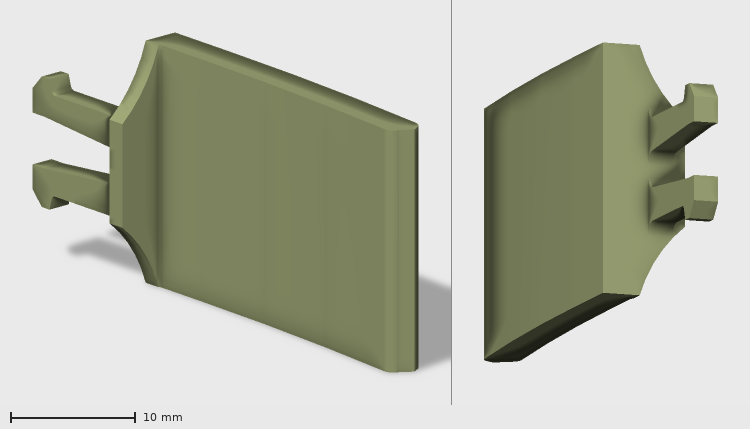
import cadquery as cq

length = 42.0
height = 20.4
depth = 7.0

plate_start = 10.5
plate_thickness = 3.02
bend_start = 17.1
bend_end = 40.55
bend_drop = 1.05
nose_drop = 2.3
nose_back_mid = (41.15, -1.18)
nose_back_end = (41.53, -1.45)
nose_front_mid = (40.9, -3.85)
nose_front_end = (41.28, -3.3)
plate_front_end_x = 40.3

flange_thickness = 1.55
flange_front_half_height = 4.35
flange_edge_depth = 3.15
flange_arc_mid = (-4.7, 6.93)
root_fillet = 0.2

hook_back = 3.9
hook_thickness = 2.05
hook_outer = 4.25
hook_inner = 2.2
hook_root_inner = 1.43
taper_start = 1.45
barb_outer = 5.5
barb_top_start = 1.15
barb_top_end = 2.05
barb_end = 2.45
hook_fillet = 0.92
barb_fillet = 0.4
edge_tolerance = 0.05

flange_end = plate_start + flange_thickness


def bend_offset(x):
    """Forward shift of the plate at x, growing with the square of the bent length."""
    return bend_drop * ((x - bend_start) / (bend_end - bend_start)) ** 2


def make_plate():
    bend_middle = (bend_start + bend_end) / 2
    front_middle_y = -plate_thickness - bend_offset(bend_middle)
    front_end_y = -plate_thickness - bend_offset(plate_front_end_x)
    return (
        cq.Workplane("XY")
        .moveTo(plate_start, 0)
        .lineTo(bend_start, 0)
        .threePointArc((bend_middle, -bend_offset(bend_middle)), (bend_end, -bend_drop))
        .threePointArc(nose_back_mid, nose_back_end)
        .lineTo(length, -nose_drop)
        .lineTo(*nose_front_end)
        .threePointArc(nose_front_mid, (plate_front_end_x, front_end_y))
        .threePointArc((bend_middle, front_middle_y), (bend_start, -plate_thickness))
        .lineTo(plate_start, -plate_thickness)
        .close()
        .extrude(height / 2, both=True)
    )


def make_flange():
    shoulder_y, shoulder_z = flange_arc_mid
    return (
        cq.Workplane("YZ", origin=(plate_start, 0, 0))
        .moveTo(0, -height / 2)
        .lineTo(-flange_edge_depth, -height / 2)
        .threePointArc((shoulder_y, -shoulder_z), (-depth, -flange_front_half_height))
        .lineTo(-depth, flange_front_half_height)
        .threePointArc((shoulder_y, shoulder_z), (-flange_edge_depth, height / 2))
        .lineTo(0, height / 2)
        .close()
        .extrude(flange_thickness)
    )


def make_root_fillet():
    """Small concave fillet between the flange and the front of the plate."""
    corner = (
        cq.Workplane("XY")
        .rect(root_fillet, root_fillet, centered=False)
        .extrude(height / 2, both=True)
        .translate((flange_end, -plate_thickness - root_fillet, 0))
    )
    round_cut = (
        cq.Workplane("XY")
        .center(flange_end + root_fillet, -plate_thickness - root_fillet)
        .circle(root_fillet)
        .extrude(height / 2, both=True)
    )
    return corner.cut(round_cut).intersect(
        make_flange().translate((flange_thickness, 0, 0))
    )


def make_upper_hook():
    return (
        cq.Workplane("XZ", origin=(0, -hook_back, 0))
        .moveTo(0, hook_inner)
        .lineTo(0, hook_outer)
        .lineTo(barb_top_start, barb_outer)
        .lineTo(barb_top_end, barb_outer)
        .lineTo(barb_end, hook_outer)
        .lineTo(plate_start, hook_outer)
        .lineTo(plate_start, hook_root_inner)
        .lineTo(taper_start, hook_inner)
        .close()
        .extrude(hook_thickness)
    )


def round_hook_edge(body, x, z, radius):
    """Fillet the edge that runs along Y through the hook's centre at (x, z)."""
    y = -hook_back - hook_thickness / 2
    low = (x - edge_tolerance, y - edge_tolerance, z - edge_tolerance)
    high = (x + edge_tolerance, y + edge_tolerance, z + edge_tolerance)
    return body.edges(cq.selectors.BoxSelector(low, high)).fillet(radius)


upper_hook = make_upper_hook()
lower_hook = upper_hook.mirror("XY")

result = (
    make_plate()
    .union(make_flange())
    .union(make_root_fillet())
    .union(upper_hook)
    .union(lower_hook)
)

for side in (1, -1):
    result = round_hook_edge(result, barb_end, side * hook_outer, barb_fillet)
    result = round_hook_edge(result, plate_start, side * hook_outer, hook_fillet)
    result = round_hook_edge(result, plate_start, side * hook_root_inner, hook_fillet)